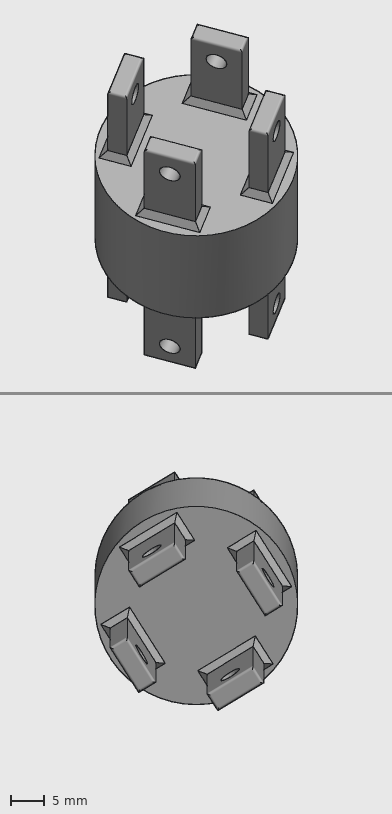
import cadquery as cq

body_diameter = 30.0
body_height = 20.0

blade_count = 4
blade_length = 50.0
blade_width = 8.0
blade_thickness = 3.0
blade_offset = 11.0
tip_radius = 0.4

hole_diameter = 3.2
hole_from_tip = 4.0

collar_height = 1.0
collar_flare = 1.0


def make_blade():
    """Blade centred on the origin, its thickness along X, with both tips rounded and drilled."""
    blade = (
        cq.Workplane("XY")
        .box(blade_thickness, blade_width, blade_length)
        .faces("<Z or >Z")
        .fillet(tip_radius)
    )
    hole_height = blade_length / 2 - hole_from_tip
    holes = (
        cq.Workplane("YZ")
        .pushPoints([(0, hole_height), (0, -hole_height)])
        .circle(hole_diameter / 2)
        .extrude(blade_thickness, both=True)
    )
    return blade.cut(holes)


def make_collar():
    """Four-sided taper around the blade, standing on the upper face of the body."""
    return (
        cq.Workplane("XY", origin=(0, 0, body_height / 2))
        .rect(blade_thickness + 2 * collar_flare, blade_width + 2 * collar_flare)
        .workplane(offset=collar_height)
        .rect(blade_thickness, blade_width)
        .loft(combine=True, ruled=True)
    )


upper_collar = make_collar()
lower_collar = upper_collar.mirror("XY")
terminal = make_blade().union(upper_collar).union(lower_collar).translate((blade_offset, 0, 0))

result = cq.Workplane("XY").cylinder(body_height, body_diameter / 2)
for index in range(blade_count):
    angle = index * 360 / blade_count
    result = result.union(terminal.rotate((0, 0, 0), (0, 0, 1), angle))